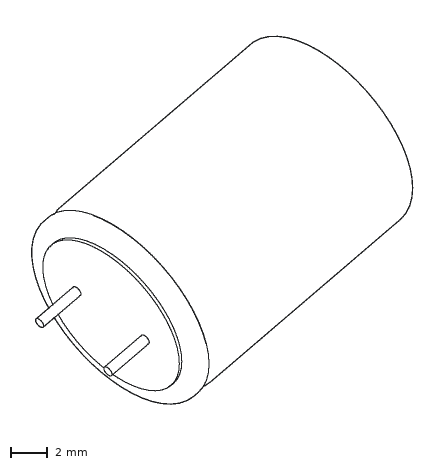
import cadquery as cq
import math

can_diameter = 12.5
can_length = 17.5
end_round = 0.45

groove_position = 1.26
groove_half_width = 0.505
groove_root_radius = 0.355
groove_shoulder_radius = 0.17

seal_diameter = 10.0
seal_height = 0.2

lead_diameter = 0.6
lead_length = 3.0
lead_spacing = 5.0

can_radius = can_diameter / 2
seal_face_y = -seal_height

groove_angle = math.asin(groove_half_width / (groove_root_radius + groove_shoulder_radius))
groove_depth = (groove_root_radius + groove_shoulder_radius) * (1 - math.cos(groove_angle))


def shoulder_point(side, angle):
    """Point on a groove shoulder, turned by angle from where it leaves the can wall."""
    radius = can_radius - groove_shoulder_radius * (1 - math.cos(angle))
    offset = groove_half_width - groove_shoulder_radius * math.sin(angle)
    return (radius, groove_position + side * offset)


def make_can():
    """Solid of revolution with rounded ends and the rolled groove."""
    flat_radius = can_radius - end_round
    arc_middle = end_round * (1 - math.cos(math.pi / 4))
    front, back = -1, 1
    profile = (
        cq.Workplane("XY")
        .lineTo(flat_radius, 0)
        .threePointArc((can_radius - arc_middle, arc_middle), (can_radius, end_round))
        .lineTo(*shoulder_point(front, 0))
        .threePointArc(shoulder_point(front, groove_angle / 2), shoulder_point(front, groove_angle))
        .threePointArc((can_radius - groove_depth, groove_position), shoulder_point(back, groove_angle))
        .threePointArc(shoulder_point(back, groove_angle / 2), shoulder_point(back, 0))
        .lineTo(can_radius, can_length - end_round)
        .threePointArc((can_radius - arc_middle, can_length - arc_middle), (flat_radius, can_length))
        .lineTo(0, can_length)
        .close()
    )
    return profile.revolve(360, (0, 0, 0), (0, 1, 0))


def make_cylinder(x, start_y, diameter, length):
    """Cylinder centred on x that runs from start_y toward -Y."""
    return cq.Workplane("XZ", origin=(x, start_y, 0)).circle(diameter / 2).extrude(length)


result = make_can().union(make_cylinder(0, 0, seal_diameter, seal_height))
for side in (-1, 1):
    lead_x = side * lead_spacing / 2
    result = result.union(make_cylinder(lead_x, seal_face_y, lead_diameter, lead_length))